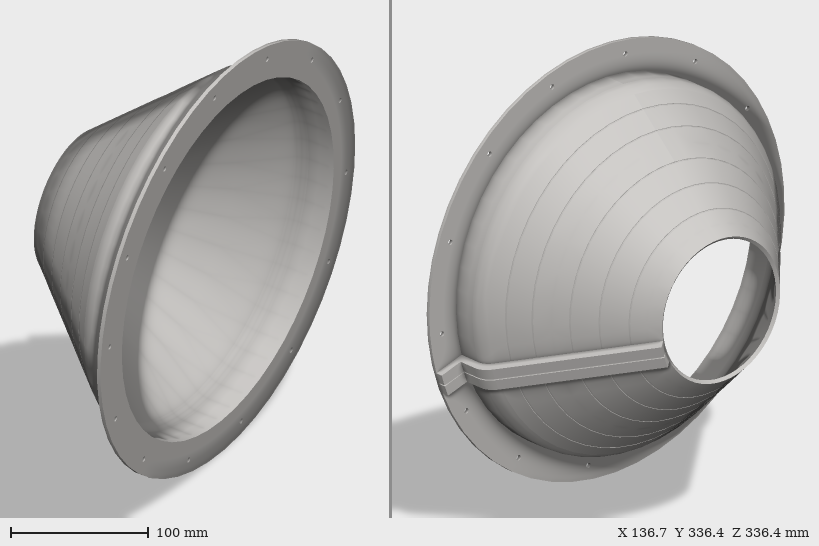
import cadquery as cq
import math

flange_radius = 168.2
flange_thickness = 3.0
hole_count = 14
hole_circle_radius = 157.0
hole_diameter = 4.0

wall = 3.0
funnel_length = 131.5
drum_radius = 143.0
drum_length = 21.5
shoulder_radius = 19.0
cone_angle = math.radians(40.2)

groove_positions = (43.7, 58.5, 79.8, 96.2, 113.0)
groove_width = 1.0
groove_depth = 0.5

rib_drum_height = 6.0
rib_cone_height = 7.5
rib_shoulder_radius = 21.5
rib_width = 18.2
rib_gap = 1.0

trim_allowance = 10.0

hole_pitch = 360.0 / hole_count
first_hole_angle = hole_pitch / 4
rib_angle = first_hole_angle + hole_pitch / 2
long_cone = funnel_length + trim_allowance


def shoulder_point(offset, angle):
    """Point on the shoulder arc of a surface lying offset outside the funnel."""
    radius = shoulder_radius + offset
    return (
        -drum_length - radius * math.sin(angle),
        drum_radius - shoulder_radius + radius * math.cos(angle),
    )


def cone_point(distance, offset=0.0):
    """Point on the offset cone at a distance in front of the flange back face."""
    x, radius = shoulder_point(offset, cone_angle)
    return (-distance, radius - (distance + x) * math.tan(cone_angle))


def revolve_about_x(profile):
    return profile.close().revolve(360, (0, 0, 0), (1, 0, 0))


def make_funnel_body(offset, length):
    """Solid inside the surface lying offset outside the funnel, up to a length toward -X."""
    path = cq.Workplane("XZ").lineTo(0, drum_radius + offset)
    path = path.lineTo(*shoulder_point(offset, 0))
    path = path.threePointArc(
        shoulder_point(offset, cone_angle / 2),
        shoulder_point(offset, cone_angle),
    )
    path = path.lineTo(*cone_point(length, offset)).lineTo(-length, 0)
    return revolve_about_x(path)


def make_envelope():
    """Cylinder of the flange radius whose conical front end is square to the funnel cone."""
    rim_radius = cone_point(funnel_length)[1]

    def front_point(radius):
        return (-funnel_length - (radius - rim_radius) * math.tan(cone_angle), radius)

    profile = cq.Workplane("XZ").polyline([
        (0, 0),
        (0, flange_radius),
        front_point(flange_radius),
        front_point(0),
    ])
    return revolve_about_x(profile)


def make_flange():
    return cq.Workplane("YZ").circle(flange_radius).extrude(-flange_thickness)


def make_flange_holes():
    return (
        cq.Workplane("YZ")
        .polarArray(hole_circle_radius, -first_hole_angle, 360, hole_count)
        .circle(hole_diameter / 2)
        .extrude(-flange_thickness)
    )


def make_groove(position):
    """Ring cutter with its floor parallel to the cone surface."""
    rear = position - groove_width / 2
    front = position + groove_width / 2
    profile = cq.Workplane("XZ").polyline([
        cone_point(rear, -groove_depth),
        cone_point(rear, groove_depth),
        cone_point(front, groove_depth),
        cone_point(front, -groove_depth),
    ])
    return revolve_about_x(profile)


def make_rib():
    """Two parallel strips standing on the funnel, with a foot across the flange."""
    foot_front = -flange_thickness - rib_drum_height
    top_radius = drum_radius + rib_drum_height
    tip = cone_point(long_cone, rib_cone_height)
    shoulder = (tip[0] + (top_radius - tip[1]) / math.tan(cone_angle), top_radius)
    root_offset = -2 * wall
    profile = cq.Workplane("XY", origin=(0, 0, -rib_width / 2)).polyline([
        (-flange_thickness, drum_radius + root_offset),
        (-flange_thickness, flange_radius),
        (foot_front, flange_radius),
        (foot_front, top_radius),
        shoulder,
        tip,
        cone_point(long_cone, root_offset),
        shoulder_point(root_offset, cone_angle),
    ])
    rib = profile.close().extrude(rib_width)
    rib = rib.edges(cq.NearestToPointSelector((*shoulder, 0))).fillet(rib_shoulder_radius)
    gap = cq.Workplane("XY").box(2 * flange_radius, 2 * flange_radius, rib_gap)
    return rib.cut(gap).rotate((0, 0, 0), (1, 0, 0), -rib_angle)


body = make_funnel_body(0, long_cone)
for groove_position in groove_positions:
    body = body.cut(make_groove(groove_position))

body = body.union(make_flange()).union(make_rib()).intersect(make_envelope())
result = body.cut(make_flange_holes()).cut(make_funnel_body(-wall, long_cone))